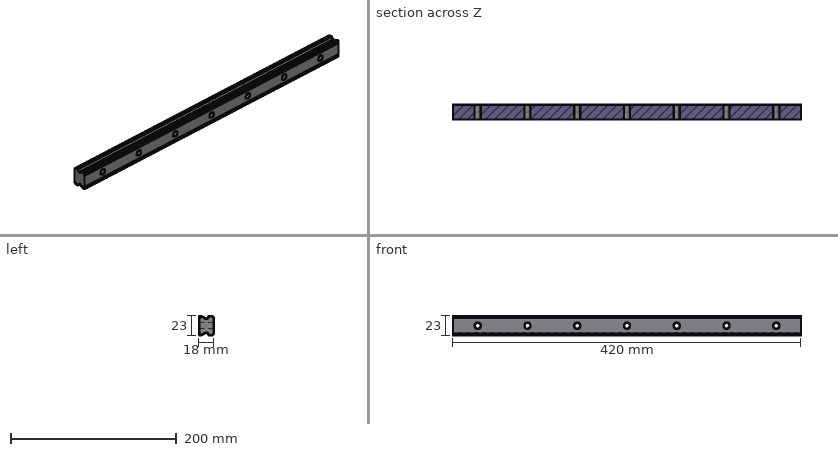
import cadquery as cq

length = 420.0
width = 18.0
height = 23.0

front = -width / 2
back = width / 2
top = height / 2
front_chamfer = 2.0
land_edge = -3.0
groove_front = -1.0
groove_back = 1.0
groove_floor = 8.5
ramp_break = (4.0, 10.5)
crest_start = 6.7
crest_end = 8.5
lip_height = 10.5
notch_bottom = (8.0, 9.2)
notch_edge = 8.5

hole_count = 7
hole_diameter = 7.0
hole_pitch = length / hole_count


def upper_outline():
    """Upper half of the (Y, Z) section, from the front face to the back face."""
    return [
        (front, top - front_chamfer),
        (front + front_chamfer, top),
        (land_edge, top),
        (groove_front, groove_floor),
        (groove_back, groove_floor),
        ramp_break,
        (crest_start, top),
        (crest_end, top),
        (back, lip_height),
        notch_bottom,
        (back, notch_edge),
    ]


def rail_body():
    """Extrude the section, which is symmetric about the XY plane."""
    upper = upper_outline()
    lower = [(y, -z) for y, z in reversed(upper)]
    section = cq.Workplane("YZ").polyline(upper + lower).close()
    return section.extrude(length / 2, both=True)


def cross_holes():
    """Row of evenly spaced cylinders running through the full width."""
    row = cq.Workplane("XZ").rarray(hole_pitch, 4, hole_count, 1)
    return row.circle(hole_diameter / 2).extrude(width, both=True)


result = rail_body().cut(cross_holes())